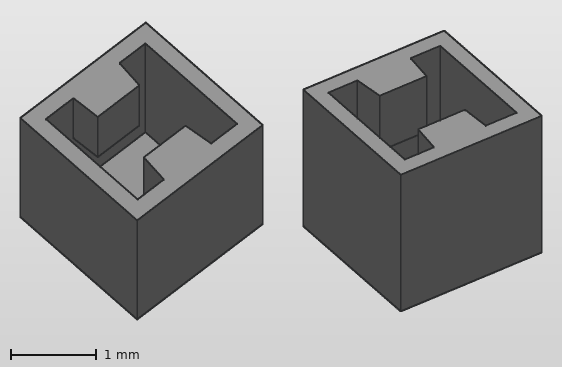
import cadquery as cq

size = 2.0
side_wall = 0.215
end_wall = 0.208
floor = 0.21
rib_reach = 0.39
rib_height = 0.81

rib_back_root = 0.38
rib_back_tip = 0.335
left_front_root = -0.355
right_front_root = -0.375
rib_front_tip = -0.33

inner_half_x = size / 2 - side_wall
inner_half_y = size / 2 - end_wall


def make_rib(side, front_root):
    """Rib on the -X (side = -1) or +X (side = 1) wall, rooted inside that wall."""
    buried_x = side * (size / 2 - side_wall / 2)
    root_x = side * inner_half_x
    tip_x = side * (inner_half_x - rib_reach)
    outline = [
        (buried_x, rib_back_root),
        (root_x, rib_back_root),
        (tip_x, rib_back_tip),
        (tip_x, rib_front_tip),
        (root_x, front_root),
        (buried_x, front_root),
    ]
    return (
        cq.Workplane("XY")
        .workplane(offset=size - rib_height)
        .polyline(outline)
        .close()
        .extrude(rib_height)
    )


def make_cavity():
    """Rectangular pocket from the floor up to the open rim."""
    return (
        cq.Workplane("XY")
        .workplane(offset=floor)
        .rect(2 * inner_half_x, 2 * inner_half_y)
        .extrude(size - floor)
    )


body = cq.Workplane("XY").box(size, size, size, centered=(True, True, False))
left_rib = make_rib(-1, left_front_root)
right_rib = make_rib(1, right_front_root)
result = body.cut(make_cavity()).union(left_rib).union(right_rib)